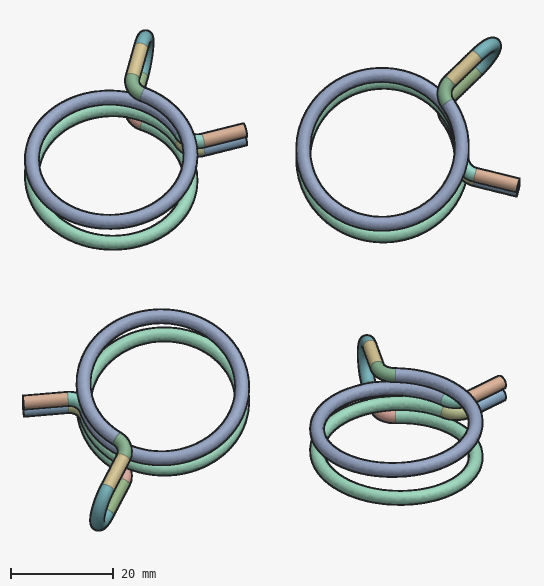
import cadquery as cq
import math


outer_diameter = 33.65
overall_height = 12.4
wire_diameter = 2.8
bend_radius = 3.5
tail_gap = 0.022
tail_reach = 27.25
grip_reach = 30.9
tail_angle = 60.0
leg_angle = 120.0

wire_radius = wire_diameter / 2
coil_radius = (outer_diameter - wire_diameter) / 2
tail_height = (wire_diameter + tail_gap) / 2
leg_height = (overall_height - wire_diameter) / 2
u_turn_radius = leg_height
leg_reach = grip_reach - u_turn_radius

bend_center_radius = coil_radius + bend_radius
bend_offset_angle = math.degrees(math.asin(bend_radius / bend_center_radius))
bend_reach = math.sqrt(bend_center_radius**2 - bend_radius**2)
bend_sweep = 90 - bend_offset_angle

coil_start_angle = tail_angle + bend_offset_angle
coil_end_angle = leg_angle - bend_offset_angle
coil_turns = 1 + (coil_end_angle - coil_start_angle) / 360
coil_rise = leg_height - tail_height


def wire_section(distance):
    """Wire cross-section facing +Y, at a distance from the Z axis along +X."""
    return cq.Workplane("XZ", origin=(distance, 0, 0)).circle(wire_radius)


def place(body, angle, height):
    return body.rotate((0, 0, 0), (0, 0, 1), angle).translate((0, 0, height))


def straight(start, end, angle, height):
    """Straight wire pointing away from the Z axis."""
    rod = cq.Workplane("YZ", origin=(start, 0, 0)).circle(wire_radius).extrude(end - start)
    return place(rod, angle, height)


def bend(coil_side, angle, height):
    """Bend from a radial wire to the coil; coil_side is +1 counterclockwise, -1 clockwise."""
    section = cq.Workplane("YZ", origin=(bend_reach, 0, 0)).circle(wire_radius)
    axis_start = (coil_side * bend_radius, 0)
    axis_end = (coil_side * bend_radius, -coil_side)
    elbow = section.revolve(bend_sweep, axis_start, axis_end)
    return place(elbow, angle, height)


def coil():
    path = cq.Wire.makeHelix(coil_rise / coil_turns, coil_rise, coil_radius)
    body = wire_section(coil_radius).sweep(cq.Workplane(obj=path), isFrenet=True)
    return place(body, coil_start_angle, tail_height)


def u_turn():
    """Half turn from the upper leg around to the lower leg."""
    section = cq.Workplane("YZ", origin=(leg_reach, 0, u_turn_radius)).circle(wire_radius)
    half_ring = section.revolve(180, (-0.45, -u_turn_radius), (0.45, -u_turn_radius))
    return place(half_ring, leg_angle, 0)


def upper_half():
    return (
        straight(bend_reach, tail_reach, tail_angle, tail_height)
        .union(bend(1, tail_angle, tail_height))
        .union(coil())
        .union(bend(-1, leg_angle, leg_height))
        .union(straight(bend_reach, leg_reach, leg_angle, leg_height))
    )


upper = upper_half()
result = upper.union(u_turn()).union(upper.mirror("XY"))